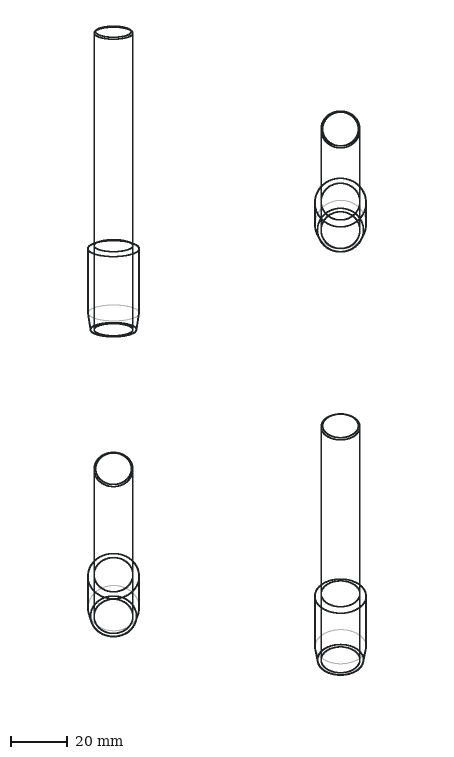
import cadquery as cq

total_length = 110.0
rod_diameter = 13.6
rod_chamfer = 0.5
sleeve_diameter = 18.0
sleeve_length = 31.0
shoulder_height = 1.1
nose_height = 6.3
nose_diameter = 16.2

rod_radius = rod_diameter / 2
sleeve_radius = sleeve_diameter / 2
nose_radius = nose_diameter / 2


def make_rod():
    """Straight rod with a small chamfer around its top end."""
    rod = cq.Workplane("XY").circle(rod_radius).extrude(total_length)
    return rod.faces(">Z").chamfer(rod_chamfer)


def make_sleeve():
    """Sleeve around the lower rod, with a conical shoulder and a tapered nose."""
    profile = (
        cq.Workplane("XZ")
        .moveTo(rod_radius, 0)
        .lineTo(nose_radius, 0)
        .lineTo(sleeve_radius, nose_height)
        .lineTo(sleeve_radius, sleeve_length - shoulder_height)
        .lineTo(rod_radius, sleeve_length)
        .close()
    )
    return profile.revolve(360, (0, 0, 0), (0, 1, 0))


rod = make_rod()
sleeve = make_sleeve()

result = cq.Compound.makeCompound([rod.val(), sleeve.val()])